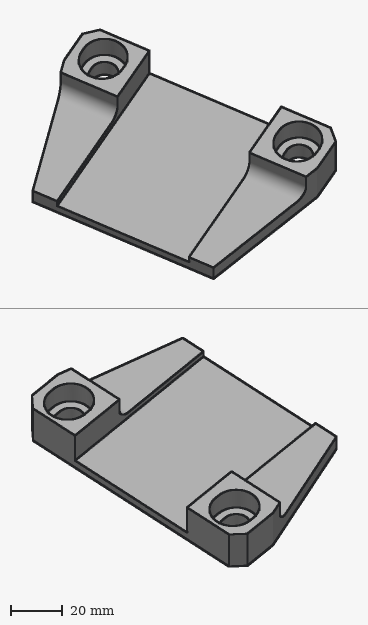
import cadquery as cq

width = 112.0
depth = 75.0
height = 18.0
front_width = 80.0
straight_side = 20.0
corner_chamfer = 5.0

wing_height = 7.0
floor_height = 4.0
channel_width = 58.2
boss_depth = 26.0
boss_fillet = 5.0

slot_spacing = 86.0
slot_from_back = 12.1
slot_width = 11.0
slot_travel = 2.0
counterbore_width = 18.0
counterbore_depth = 10.0

back = depth / 2
front = -depth / 2
boss_front = back - boss_depth


def tapered_plate():
    """Full-height plate with chamfered back corners and tapering sides."""
    right_side = [
        (front_width / 2, front),
        (width / 2, back - straight_side),
        (width / 2, back - corner_chamfer),
        (width / 2 - corner_chamfer, back),
    ]
    left_side = [(-x, y) for x, y in reversed(right_side)]
    return cq.Workplane("XY").polyline(right_side + left_side).close().extrude(height)


def side_profile():
    """Stepped YZ section with a concave fillet in front of the bosses, spanning the width."""
    return (
        cq.Workplane("YZ")
        .moveTo(front, 0)
        .lineTo(back, 0)
        .lineTo(back, height)
        .lineTo(boss_front, height)
        .lineTo(boss_front, wing_height + boss_fillet)
        .radiusArc((boss_front - boss_fillet, wing_height), boss_fillet)
        .lineTo(front, wing_height)
        .close()
        .extrude(width / 2, both=True)
    )


def channel():
    """Straight channel between the bosses, open at the front, back and top."""
    return (
        cq.Workplane("XY")
        .workplane(offset=floor_height)
        .rect(channel_width, depth)
        .extrude(height - floor_height)
    )


def slots(slot_size, bottom):
    """Pair of slot-shaped cutters of the given width, from bottom up to the top face."""
    slot_y = back - slot_from_back
    return (
        cq.Workplane("XY")
        .workplane(offset=bottom)
        .pushPoints([(-slot_spacing / 2, slot_y), (slot_spacing / 2, slot_y)])
        .slot2D(slot_size + slot_travel, slot_size, 90)
        .extrude(height - bottom)
    )


result = (
    tapered_plate()
    .intersect(side_profile())
    .cut(channel())
    .cut(slots(slot_width, 0))
    .cut(slots(counterbore_width, height - counterbore_depth))
)